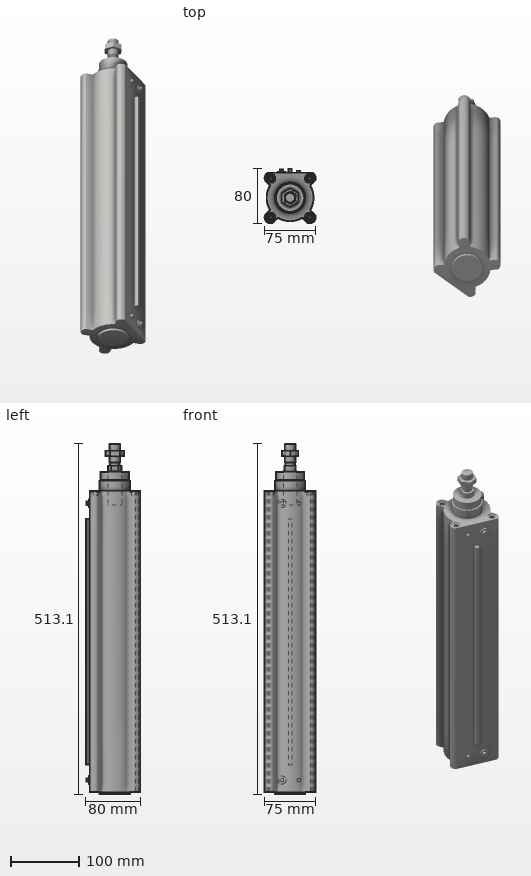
import cadquery as cq
import math

body_length = 441.0
body_half_width = 37.5
tube_diameter = 69.0
flat_height = 36.7
tie_offset = 28.25
lobe_radius = body_half_width - tie_offset
lobe_fillet = 5.0
neck_fillet = 1.0

recess_diameter = 13.2
recess_chamfer = 0.6
recess_depth = 2.0
socket_diameter = 8.0
socket_depth = 4.0
cone_diameter = 5.4
cone_depth = 2.7

spigot_diameter = 45.0
rear_spigot_height = 3.1
rear_spigot_chamfer = 0.5
front_spigot_height = 15.0
nose_diameter = 42.0
nose_height = 13.0
nose_groove_diameter = 41.0
nose_groove_width = 1.0

rail_width = 5.4
rail_length = 360.0
rail_top = 42.5
fitting_spacing = 24.8
fitting_inset = 18.0
plug_flange_diameter = 12.0
plug_flange_height = 1.6
plug_diameter = 5.4
plug_height = 4.9
screw_diameter = 5.4
screw_height = 3.0
boss_root = 1.0

rod_diameter = 20.0
rod_reach = 69.0
thread_diameter = 16.0
thread_length = 32.0
relief_diameter = 14.38
relief_length = 4.2
thread_chamfer = (thread_diameter - relief_diameter) / 2
wrench_flat_width = 17.0
wrench_flat_height = 8.0
rod_insertion = 20.0
nut_width = 24.0
nut_height = 8.0
nut_setback = 10.0

rod_tip_z = body_length + rod_reach
thread_start_z = rod_tip_z - thread_length
nut_z = rod_tip_z - nut_setback - nut_height
front_spigot_top_z = body_length + front_spigot_height
nose_top_z = front_spigot_top_z + nose_height
rod_base_z = body_length - rod_insertion
corner_points = [(sx * tie_offset, sy * tie_offset) for sx in (-1, 1) for sy in (-1, 1)]


def cylinder(diameter, bottom, height):
    """Round bar on the piston axis."""
    return cq.Workplane("XY").workplane(offset=bottom).circle(diameter / 2).extrude(height)


def corner_lobe():
    """Lobe of the (+X, +Y) corner: rounded outside, 45 degree inner faces running to the axis."""
    rise = lobe_fillet * math.sin(math.pi / 4)
    drop = lobe_fillet - rise
    side = tie_offset - rise
    crest = body_half_width - drop
    half_rise = lobe_fillet * math.sin(math.pi / 8)
    half_drop = lobe_fillet * (1 - math.cos(math.pi / 8))
    lobe_mid = tie_offset + lobe_radius * math.sin(math.pi / 4)
    axis_gap = crest - side
    return (
        cq.Workplane("XY")
        .moveTo(axis_gap, 0)
        .lineTo(crest, side)
        .threePointArc(
            (body_half_width - half_drop, tie_offset - half_rise),
            (body_half_width, tie_offset),
        )
        .threePointArc((lobe_mid, lobe_mid), (tie_offset, body_half_width))
        .threePointArc(
            (tie_offset - half_rise, body_half_width - half_drop),
            (side, crest),
        )
        .lineTo(0, axis_gap)
        .lineTo(0, 0)
        .close()
        .extrude(body_length)
    )


def is_neck_edge(edge):
    """True for the inward corners between the lobes and the tube."""
    centre = edge.Center()
    on_tube = abs(math.hypot(centre.x, centre.y) - tube_diameter / 2) < 0.01
    on_lobe = min(abs(centre.x), abs(centre.y)) > 1.0
    return on_tube and on_lobe


def profile_body():
    """Tube with four corner lobes and a flat face on the +Y side."""
    body = cylinder(tube_diameter, 0, body_length)
    lobe = corner_lobe()
    for turn in range(4):
        body = body.union(lobe.rotate((0, 0, 0), (0, 0, 1), 90 * turn))
    body = body.edges("|Z").filter(is_neck_edge).fillet(neck_fillet)
    flat_fill = cq.Workplane("XY").box(
        2 * tie_offset, flat_height - tie_offset, body_length, centered=(True, False, False)
    )
    body = body.union(flat_fill.translate((0, tie_offset, 0)))
    trim = cq.Workplane("XY").box(
        2 * body_half_width, body_half_width, body_length, centered=(True, False, False)
    )
    return body.cut(trim.translate((0, flat_height, 0)))


def screw_recesses():
    """Stepped recess with a conical bottom at each front corner."""
    seat_z = body_length - recess_depth
    socket_floor_z = seat_z - socket_depth
    cutter = cylinder(recess_diameter, seat_z, recess_depth)
    cutter = cutter.faces("<Z").chamfer(recess_chamfer)
    cutter = cutter.union(cylinder(socket_diameter, socket_floor_z, socket_depth))
    cone = cq.Solid.makeCone(
        0, cone_diameter / 2, cone_depth, pnt=cq.Vector(0, 0, socket_floor_z - cone_depth)
    )
    cutter = cutter.union(cq.Workplane(cone))
    cutters = cq.Workplane("XY")
    for x, y in corner_points:
        cutters = cutters.add(cutter.translate((x, y, 0)))
    return cutters.combine()


def boss(diameter, height, x, z):
    """Round boss standing on the flat face, rooted in the housing."""
    return (
        cq.Workplane("XZ", origin=(x, flat_height - boss_root, z))
        .circle(diameter / 2)
        .extrude(-(height + boss_root))
    )


def make_housing():
    housing = profile_body().cut(screw_recesses())

    rear = cylinder(spigot_diameter, -rear_spigot_height, rear_spigot_height)
    housing = housing.union(rear.faces("<Z").chamfer(rear_spigot_chamfer))
    front = cylinder(spigot_diameter, body_length, front_spigot_height)
    nose = cylinder(nose_diameter, body_length, nose_top_z - body_length)
    groove = cylinder(nose_diameter, front_spigot_top_z, nose_groove_width).cut(
        cylinder(nose_groove_diameter, front_spigot_top_z, nose_groove_width)
    )
    housing = housing.union(front).union(nose.cut(groove))

    rail = cq.Workplane("XY").box(
        rail_width, rail_top - tie_offset, rail_length, centered=(True, False, True)
    )
    housing = housing.union(rail.translate((0, tie_offset, body_length / 2)))
    for z in (fitting_inset, body_length - fitting_inset):
        housing = housing.union(boss(plug_flange_diameter, plug_flange_height, -fitting_spacing / 2, z))
        housing = housing.union(boss(plug_diameter, plug_height, -fitting_spacing / 2, z))
        housing = housing.union(boss(screw_diameter, screw_height, fitting_spacing / 2, z))

    rod_hole = cylinder(rod_diameter, rod_base_z, nose_top_z - rod_base_z)
    return housing.cut(rod_hole)


def make_rod():
    shank = cylinder(rod_diameter, rod_base_z, thread_start_z - rod_base_z)
    flat_cutter = cq.Workplane("XY").box(rod_diameter, rod_diameter, wrench_flat_height)
    cutter_x = (wrench_flat_width + rod_diameter) / 2
    for side in (-1, 1):
        shank = shank.cut(
            flat_cutter.translate((side * cutter_x, 0, thread_start_z - wrench_flat_height / 2))
        )
    relief = cylinder(relief_diameter, thread_start_z, relief_length)
    thread_bottom_z = thread_start_z + relief_length
    thread = cylinder(thread_diameter, thread_bottom_z, rod_tip_z - thread_bottom_z)
    thread = thread.faces("<Z or >Z").chamfer(thread_chamfer)
    return shank.union(relief).union(thread)


def make_lock_nut():
    """Hexagon nut with two flats facing -X and +X."""
    corner_diameter = nut_width / math.cos(math.pi / 6)
    nut = (
        cq.Workplane("XY", origin=(0, 0, nut_z))
        .transformed(rotate=(0, 0, 30))
        .polygon(6, corner_diameter)
        .extrude(nut_height)
    )
    return nut.cut(cylinder(thread_diameter, nut_z, nut_height))


housing = make_housing()
piston_rod = make_rod()
lock_nut = make_lock_nut()

result = cq.Compound.makeCompound([housing.val(), piston_rod.val(), lock_nut.val()])